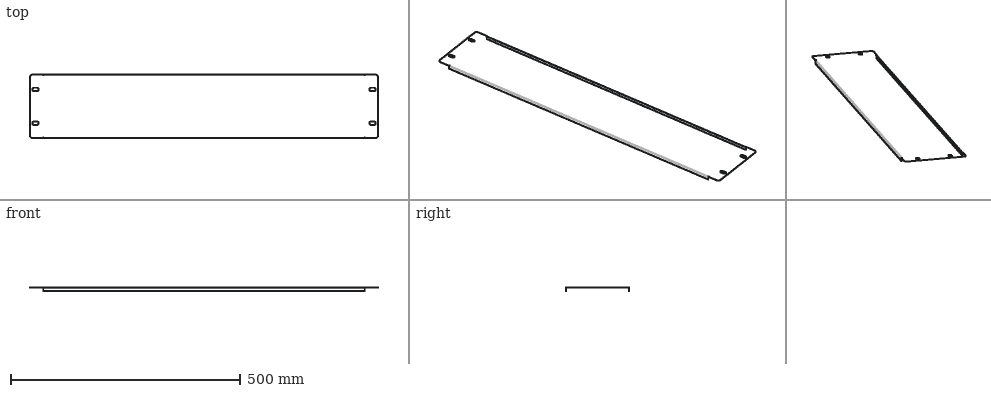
import cadquery as cq

length = 760.0
width = 139.0
height = 8.0
thickness = 0.8
corner_radius = 6.0

flange_end_gap = 29.0
bend_inner_radius = 1.15
bend_outer_radius = bend_inner_radius + thickness
flange_length = length - 2 * flange_end_gap

slot_length = 14.0
slot_width = 7.0
slot_edge_distance = 12.0
slot_spacing_x = length - 2 * slot_edge_distance
slot_spacing_y = 74.0


def make_plate():
    """Flat face with rounded corners, its top at Z = 0."""
    plate = cq.Workplane("XY").box(length, width, thickness, centered=(True, True, False))
    return plate.edges("|Z").fillet(corner_radius).translate((0, 0, -thickness))


def make_folded_channel():
    """Middle stretch of the panel, with both flanges bent downward."""
    outside = (
        cq.Workplane("XY")
        .box(flange_length, width, height, centered=(True, True, False))
        .translate((0, 0, -height))
        .edges("|X and >Z")
        .fillet(bend_outer_radius)
    )
    inside = (
        cq.Workplane("XY")
        .box(flange_length, width - 2 * thickness, height - thickness, centered=(True, True, False))
        .translate((0, 0, -height))
        .edges("|X and >Z")
        .fillet(bend_inner_radius)
    )
    return outside.cut(inside)


def make_end_plates():
    """Flat ends of the panel, beyond the flanges."""
    middle = cq.Workplane("XY").box(flange_length, width, 2 * height)
    return make_plate().cut(middle)


def make_slots():
    """Four through slots, lengthwise along X."""
    return (
        cq.Workplane("XY")
        .rarray(slot_spacing_x, slot_spacing_y, 2, 2)
        .slot2D(slot_length, slot_width)
        .extrude(-height)
    )


result = make_folded_channel().union(make_end_plates()).cut(make_slots())